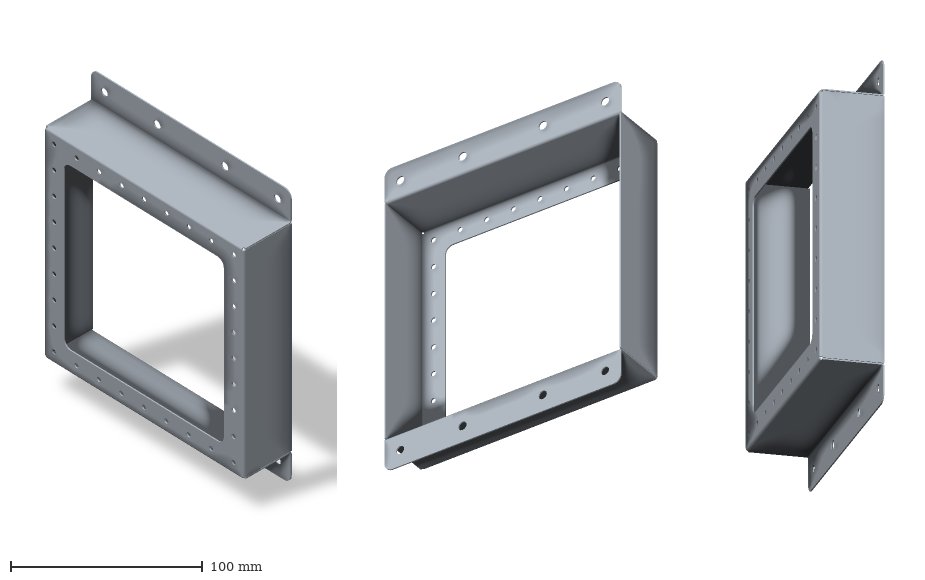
import cadquery as cq

height = 190.0
box_side = 150.0
depth = 35.0

thickness = 0.8
inner_bend = 0.8
outer_bend = inner_bend + thickness
corner_gap = 0.2

window_side = 120.0
window_radius = 5.0

ring_side = 134.9
ring_hole_diameter = 3.0
holes_per_side = 9

flange_hole_z = 85.0
outer_hole_x = 65.0
outer_hole_diameter = 5.0
inner_hole_x = 25.5
inner_hole_diameter = 5.1
flange_corner_radius = 5.0

half_box = box_side / 2
half_height = height / 2
front_y = -depth / 2
back_y = depth / 2
plate_side = box_side - 2 * outer_bend
side_wall_length = box_side - 2 * (thickness + corner_gap)


def box_between(x_range, y_range, z_range):
    """Box filling the given (low, high) range along each axis."""
    lows, highs = zip(x_range, y_range, z_range)
    sizes = [high - low for low, high in zip(lows, highs)]
    return cq.Workplane("XY").box(*sizes, centered=False).translate(lows)


def quarter_bend(length, center_y, center_z, clip_y, clip_z):
    """Quarter of a bent sheet tube along X, on the clip_y / clip_z side of its centre line."""
    tube = (
        cq.Workplane("YZ", origin=(-length / 2, center_y, center_z))
        .circle(outer_bend)
        .circle(inner_bend)
        .extrude(length)
    )
    quadrant = cq.Workplane("XY").box(length, outer_bend, outer_bend)
    offset = (0, center_y + clip_y * outer_bend / 2, center_z + clip_z * outer_bend / 2)
    return tube.intersect(quadrant.translate(offset))


def front_plate():
    """Flat front face with the window, up to the start of the bends."""
    plate = cq.Workplane("XY").box(plate_side, thickness, plate_side)
    window = (
        cq.Workplane("XY")
        .box(window_side, thickness, window_side)
        .edges("|Y")
        .fillet(window_radius)
    )
    return plate.cut(window).translate((0, front_y + thickness / 2, 0))


def front_bend():
    """Bend between the front plate and the top wall."""
    return quarter_bend(plate_side, front_y + outer_bend, half_box - outer_bend, -1, 1)


def side_wall():
    """Right-hand wall with its front bend; it stops just short of the top and bottom walls."""
    half_length = side_wall_length / 2
    wall = box_between(
        (half_box - thickness, half_box),
        (front_y + outer_bend, back_y),
        (-half_length, half_length),
    )
    bend = front_bend().rotate((0, 0, 0), (0, 1, 0), 90)
    return wall.union(bend)


def top_wall_with_flange():
    """Top wall, bent from the front plate and bent again into the upper mounting flange."""
    flange_start_z = half_box + inner_bend
    wall_end_y = back_y - outer_bend
    wall = box_between(
        (-half_box, half_box),
        (front_y + outer_bend, wall_end_y),
        (half_box - thickness, half_box),
    )
    flange_bend = quarter_bend(box_side, wall_end_y, flange_start_z, 1, -1)
    flange = (
        box_between(
            (-half_box, half_box),
            (back_y - thickness, back_y),
            (flange_start_z, half_height),
        )
        .edges("|Y and >Z")
        .fillet(flange_corner_radius)
    )
    return wall.union(front_bend()).union(flange_bend).union(flange)


def hole_cutters(points, diameter):
    """Cylinders along Y through the whole depth at the given (x, z) points."""
    return (
        cq.Workplane("XZ", origin=(0, back_y, 0))
        .pushPoints(points)
        .circle(diameter / 2)
        .extrude(depth)
    )


def ring_points():
    """Evenly spaced points along the four sides of the hole ring."""
    half_ring = ring_side / 2
    pitch = ring_side / (holes_per_side - 1)
    points = []
    for index in range(holes_per_side - 1):
        along = -half_ring + index * pitch
        points += [(along, -half_ring), (half_ring, along), (-along, half_ring), (-half_ring, -along)]
    return points


def flange_points(x):
    """The four mirrored positions of a flange hole."""
    return [(sign_x * x, sign_z * flange_hole_z) for sign_x in (-1, 1) for sign_z in (-1, 1)]


right_wall = side_wall()
upper_part = top_wall_with_flange()

result = (
    front_plate()
    .union(right_wall)
    .union(right_wall.mirror("YZ"))
    .union(upper_part)
    .union(upper_part.mirror("XY"))
    .cut(hole_cutters(ring_points(), ring_hole_diameter))
    .cut(hole_cutters(flange_points(outer_hole_x), outer_hole_diameter))
    .cut(hole_cutters(flange_points(inner_hole_x), inner_hole_diameter))
)